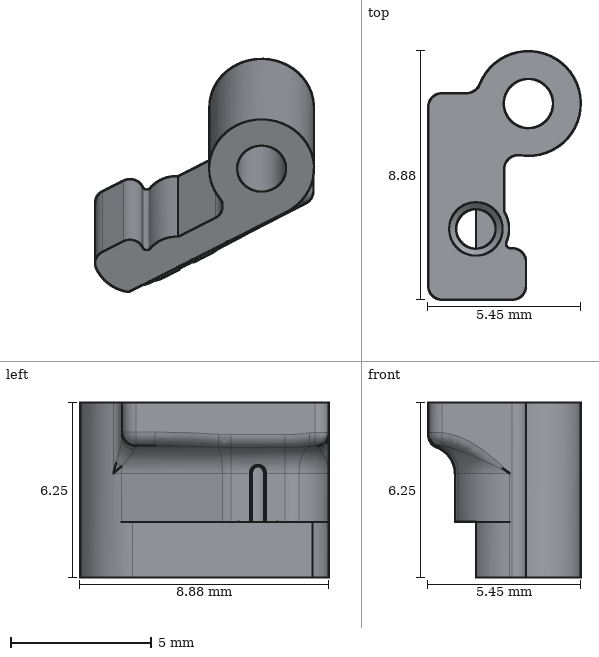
import cadquery as cq
import math

LENGTH = 8.88
HEIGHT = 6.25
WIDTH = 5.45

HUB_RADIUS = 1.87
HUB_X = WIDTH - HUB_RADIUS
HUB_Y = LENGTH - HUB_RADIUS
HUB_BORE = 1.75

ARM_BACK = 7.38
ARM_RIGHT = 2.72
FOOT_RIGHT = 3.5
FOOT_BACK = 1.85
CORNER_RADIUS = 0.5
FOOT_NOTCH_RADIUS = 0.15

SCREW_X = HUB_X - HUB_RADIUS
SCREW_Y = 2.53
SCREW_BORE = 1.4
SINK_DIAMETER = 1.91
BOSS_RADIUS = 1.19

WAIST_BOTTOM = 1.99
WAIST_TOP = 3.72
FLANGE_EDGE_BOTTOM = 5.1
FLANGE_ROUND = 0.49
WAIST_LEFT = 0.95
NOSE_X = 2.91
BASE_NOSE_RADIUS = 1.53
WAIST_NOSE_RADIUS = 2.105
WAIST_CORNER_RADIUS = 1.0
WAIST_BEND_RADIUS = 1.465
WAIST_BEND_ANGLE = math.radians(12)

COVE_RISE = FLANGE_EDGE_BOTTOM - WAIST_TOP
COVE_OFFSET = WAIST_LEFT - FLANGE_ROUND
COVE_RADIUS = (COVE_RISE**2 + COVE_OFFSET**2 - FLANGE_ROUND**2) / (2 * WAIST_LEFT)

WINDOW_WIDTH = 0.56
WINDOW_TOP = 4.01
WINDOW_INNER_WIDTH = 0.43

MARGIN = 1.78


def box(x0, x1, y0, y1, z0, z1):
    return cq.Workplane("XY").box(x1 - x0, y1 - y0, z1 - z0, centered=False).translate((x0, y0, z0))


def cylinder(x, y, radius):
    return cq.Workplane("XY").center(x, y).circle(radius).extrude(HEIGHT)


def edges_at(body, x, y):
    reach = 0.04
    return body.edges(cq.selectors.BoxSelector((x - reach, y - reach, -0.09), (x + reach, y + reach, HEIGHT + 0.09)))


def notch_filler():
    """Web whose concave arc blends the boss into the back of the foot."""
    reach = BOSS_RADIUS + FOOT_NOTCH_RADIUS
    center_y = FOOT_BACK + FOOT_NOTCH_RADIUS
    center_x = SCREW_X + math.sqrt(reach**2 - (SCREW_Y - center_y)**2)
    share = BOSS_RADIUS / reach
    boss_point = (SCREW_X + (center_x - SCREW_X) * share, SCREW_Y + (center_y - SCREW_Y) * share)
    return (
        cq.Workplane("XY").moveTo(SCREW_X, FOOT_BACK).lineTo(center_x, FOOT_BACK)
        .radiusArc(boss_point, FOOT_NOTCH_RADIUS).lineTo(SCREW_X, SCREW_Y).close().extrude(HEIGHT)
    )


def plan_prism():
    """Full-height prism of the arm, foot, boss and hub."""
    arm = box(0, ARM_RIGHT, 0, ARM_BACK, 0, HEIGHT)
    foot = box(0, FOOT_RIGHT, 0, FOOT_BACK, 0, HEIGHT)
    body = arm.union(foot).union(cylinder(HUB_X, HUB_Y, HUB_RADIUS))
    body = body.union(cylinder(SCREW_X, SCREW_Y, BOSS_RADIUS)).clean()
    neck_x = HUB_X - math.sqrt(HUB_RADIUS**2 - (ARM_BACK - HUB_Y)**2)
    neck_y = HUB_Y - math.sqrt(HUB_RADIUS**2 - (HUB_X - ARM_RIGHT)**2)
    corners = [
        (0, 0), (0, ARM_BACK), (FOOT_RIGHT, 0), (FOOT_RIGHT, FOOT_BACK),
        (neck_x, ARM_BACK), (ARM_RIGHT, neck_y),
    ]
    for x, y in corners:
        body = edges_at(body, x, y).fillet(CORNER_RADIUS)
    return body.union(notch_filler())


def close_right(sketch):
    """Close an outline around the back of the hub and beyond the right side."""
    right = WIDTH + MARGIN
    return sketch.lineTo(right, LENGTH).lineTo(right, 0).close()


def base_stock():
    start_y = BASE_NOSE_RADIUS - math.sqrt(BASE_NOSE_RADIUS**2 - (NOSE_X - SCREW_X)**2)
    sketch = (
        cq.Workplane("XY").moveTo(NOSE_X, 0)
        .radiusArc((SCREW_X, start_y), BASE_NOSE_RADIUS)
        .lineTo(SCREW_X, HUB_Y)
        .radiusArc((HUB_X, LENGTH), HUB_RADIUS)
    )
    return close_right(sketch).extrude(WAIST_BOTTOM)


def waist_stock():
    """Waist wall flaring through the cove into an oversize slab."""
    center_gap = WAIST_NOSE_RADIUS - WAIST_CORNER_RADIUS
    gap_x = NOSE_X - WAIST_LEFT - WAIST_CORNER_RADIUS
    gap_y = math.sqrt(center_gap**2 - gap_x**2)
    nose_scale = WAIST_NOSE_RADIUS / center_gap
    nose_end = (NOSE_X - gap_x * nose_scale, WAIST_NOSE_RADIUS - gap_y * nose_scale)
    corner_end = (WAIST_LEFT, WAIST_NOSE_RADIUS - gap_y)

    sine = math.sin(WAIST_BEND_ANGLE)
    cosine = math.cos(WAIST_BEND_ANGLE)
    hub_start = (HUB_X - HUB_RADIUS * cosine, HUB_Y + HUB_RADIUS * sine)
    bend_y = hub_start[1] - (hub_start[0] - WAIST_LEFT) * cosine / sine
    setback = WAIST_BEND_RADIUS * math.tan(WAIST_BEND_ANGLE / 2)
    bend_end = (WAIST_LEFT + setback * sine, bend_y + setback * cosine)

    sketch = (
        cq.Workplane("XY", origin=(0, 0, WAIST_BOTTOM)).moveTo(NOSE_X, 0)
        .radiusArc(nose_end, WAIST_NOSE_RADIUS)
        .radiusArc(corner_end, WAIST_CORNER_RADIUS)
        .lineTo(WAIST_LEFT, bend_y - setback)
        .radiusArc(bend_end, WAIST_BEND_RADIUS)
        .lineTo(*hub_start)
        .radiusArc((HUB_X, LENGTH), HUB_RADIUS)
    )
    slab_bottom = WAIST_TOP + COVE_RADIUS
    wall = close_right(sketch).extrude(slab_bottom - WAIST_BOTTOM)
    right = WIDTH + MARGIN
    slab = box(-MARGIN, right, -MARGIN, LENGTH + MARGIN, slab_bottom, HEIGHT)
    tolerance = 0.01
    junction = cq.selectors.BoxSelector(
        (0, -tolerance, slab_bottom - tolerance),
        (right - tolerance, LENGTH + tolerance, slab_bottom + tolerance),
        boundingbox=False,
    )
    return wall.union(slab).edges(junction).fillet(COVE_RADIUS)


def window_cutter():
    depth = (SCREW_X - math.sqrt((SCREW_BORE / 2)**2 - (WINDOW_INNER_WIDTH / 2)**2)) - WAIST_LEFT
    taper = math.degrees(math.atan((WINDOW_WIDTH - WINDOW_INNER_WIDTH) / 2 / depth))
    radius = WINDOW_WIDTH / 2
    bottom = WAIST_BOTTOM - radius

    def profile():
        return (
            cq.Workplane("YZ", origin=(WAIST_LEFT, SCREW_Y, 0))
            .moveTo(-radius, bottom).lineTo(radius, bottom).lineTo(radius, WINDOW_TOP - radius)
            .threePointArc((0, WINDOW_TOP), (-radius, WINDOW_TOP - radius)).close()
        )

    outer = profile().extrude(-WAIST_LEFT)
    return outer.union(profile().extrude(1.5 * depth, taper=taper))


def screw_hole_cutter():
    bore_radius = SCREW_BORE / 2
    sink_radius = SINK_DIAMETER / 2
    sink_bottom = HEIGHT - (sink_radius - bore_radius)
    return (
        cq.Workplane("XZ").lineTo(bore_radius, 0).lineTo(bore_radius, sink_bottom - WAIST_BOTTOM)
        .lineTo(sink_radius, HEIGHT - WAIST_BOTTOM).lineTo(0, HEIGHT - WAIST_BOTTOM).close()
        .revolve(360, (0, 0, 0), (0, 1, 0))
        .translate((SCREW_X, SCREW_Y, WAIST_BOTTOM))
    )


def rounded_flange():
    """Waist and flange trimmed to plan, with the lower flange edge rounded."""
    body = plan_prism().intersect(waist_stock())
    reach = 0.02
    left_edges = cq.selectors.BoxSelector(
        (-reach, 0, WAIST_TOP), (reach, ARM_BACK, FLANGE_EDGE_BOTTOM)
    )
    return body.edges(left_edges).fillet(FLANGE_ROUND)


base = plan_prism().intersect(base_stock())
result = base.union(rounded_flange())
result = result.cut(cylinder(HUB_X, HUB_Y, HUB_BORE / 2))
result = result.cut(screw_hole_cutter()).cut(window_cutter())